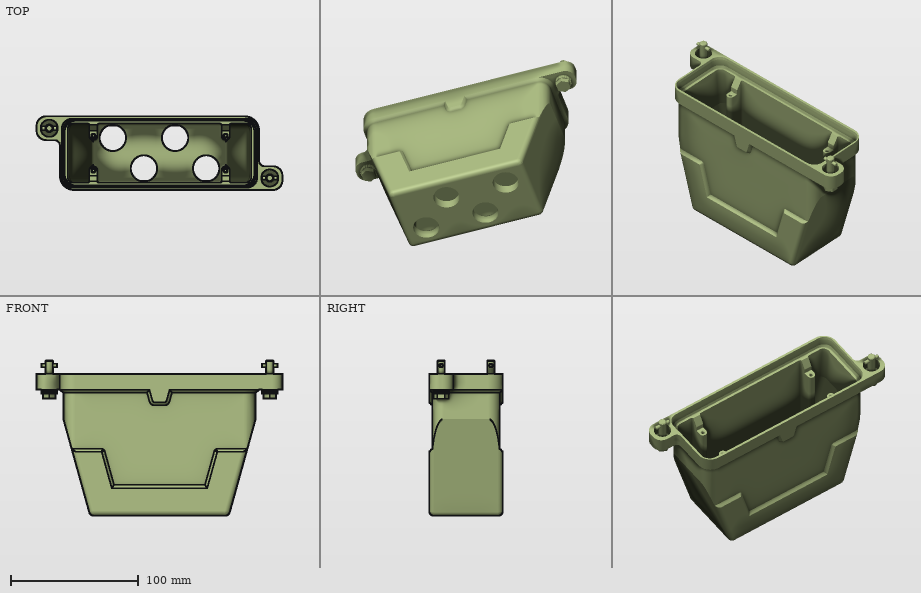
import cadquery as cq
import math

RIM_HALF_X = 78.2
RIM_HALF_Y = 29.0
RIM_CORNER_R = 11.5
RIM_TOP = 111.3
RIM_BOTTOM = 99.0
EAR_END_X = 96.5
EAR_INNER_Y = 10.1
EAR_CORNER_R = 7.75
EAR_NOTCH_R = 4.0

STEP = 2.4
BEVEL_DEG = 45
BODY_HALF_X = 75.45
BODY_HALF_Y = RIM_HALF_Y - STEP
BODY_CORNER_R = RIM_CORNER_R - STEP
BEND_Z = 76.0
LEAN_DEG = 15.5
LEAN = math.tan(math.radians(LEAN_DEG))
EDGE_R = 4.0

PANEL_TOP = 50.15
PANEL_DIP_Z = 21.85
PANEL_DIP_HALF_X = 45.3

GRIP_BOTTOM_HALF_X = 5.2
GRIP_BOTTOM = 89.1
GRIP_CORNER_R = 2.0

SEAT_Z = 102.5
SEAT_CORNER_R = 8.5
SEAT_STAGES = [
    (SEAT_Z, 74.3, 25.3),
    (104.2, 75.5, 26.2),
    (109.3, 76.2, 26.7),
    (RIM_TOP, 76.8, 27.1),
]

CAVITY_HALF_Y = 23.3
CAVITY_TOP_HALF_X = 72.1
CAVITY_BEND_HALF_X = 70.1
CAVITY_BEND_Z = 70.0
CAVITY_FLOOR = 8.0
CAVITY_CORNER_R = 5.0
FLOOR_FILLET_R = 1.8

POST_X = 51.9
POST_Y = 13.6
POST_R = 3.2
POST_TOP = 91.5
POST_FLARE_R = 1.5
POST_HOLE_D = 2.4
POST_SINK_D = 3.5
POST_HOLE_DEPTH = 12.0
BRACE_FRONT_Y = 17.7
BRACE_TOP_Y = 22.1
BRACE_SLOPE_Z = 95.7

CABLE_HOLE_D = 20.5
CABLE_HOLES = 4
CABLE_PITCH = 24.4
CABLE_Y = 12.0

SCREW_X = 86.5
SCREW_Y = 19.5
WELL_D = 13.5
WELL_FLOOR = 2.0
SHAFT_D = 6.0
SHAFT_TOP = 121.95
SHAFT_CHAMFER = 0.6
CROSS_PIN_D = 3.0
CROSS_PIN_LENGTH = 12.8
CROSS_PIN_Z = 117.9
CROSS_PIN_CHAMFER = 0.4
COLLAR_D = 12.5
COLLAR_HEIGHT = 3.1
COLLAR_NOTCHES = 24
COLLAR_NOTCH_D = 0.8
HEX_SIDES = 6
HEX_FLATS = 10.1
HEX_HEIGHT = 3.9


def rounded_block(half_x, half_y, radius, z_low, z_high):
    """Upright block with rounded vertical edges."""
    block = cq.Workplane("XY").workplane(offset=z_low).rect(2 * half_x, 2 * half_y)
    return block.extrude(z_high - z_low).edges("|Z").fillet(radius)


def rounded_loft(low_half, low_r, z_low, high_half, high_r, z_high):
    """Sloped-side block between two rounded rectangles."""
    low = cq.Sketch().rect(2 * low_half[0], 2 * low_half[1]).vertices().fillet(low_r)
    high = cq.Sketch().rect(2 * high_half[0], 2 * high_half[1]).vertices().fillet(high_r)
    high = high.moved(cq.Location(cq.Vector(0, 0, z_high - z_low)))
    return cq.Workplane("XY").workplane(offset=z_low).placeSketch(low, high).loft()


def both_sides(solid):
    """The solid together with its half-turn copy about Z."""
    return solid.union(solid.rotate((0, 0, 0), (0, 0, 1), 180))


def make_rim():
    rim = rounded_block(RIM_HALF_X, RIM_HALF_Y, RIM_CORNER_R, RIM_BOTTOM, RIM_TOP)
    ear = (
        cq.Workplane("XY")
        .workplane(offset=RIM_BOTTOM)
        .moveTo(0, RIM_HALF_Y)
        .lineTo(EAR_CORNER_R - EAR_END_X, RIM_HALF_Y)
        .radiusArc((-EAR_END_X, RIM_HALF_Y - EAR_CORNER_R), -EAR_CORNER_R)
        .lineTo(-EAR_END_X, EAR_INNER_Y + EAR_CORNER_R)
        .radiusArc((EAR_CORNER_R - EAR_END_X, EAR_INNER_Y), -EAR_CORNER_R)
        .lineTo(-RIM_HALF_X - EAR_NOTCH_R, EAR_INNER_Y)
        .radiusArc((-RIM_HALF_X, EAR_INNER_Y - EAR_NOTCH_R), EAR_NOTCH_R)
        .lineTo(0, EAR_INNER_Y - EAR_NOTCH_R)
        .close()
        .extrude(RIM_TOP - RIM_BOTTOM)
    )
    underside = rounded_loft(
        (BODY_HALF_X, BODY_HALF_Y), BODY_CORNER_R, RIM_BOTTOM - STEP,
        (RIM_HALF_X, RIM_HALF_Y), RIM_CORNER_R, RIM_BOTTOM,
    )
    return rim.union(both_sides(ear)).union(underside)


def panel_relief():
    """Material removed above the raised panel on the -Y side, with 45 degree borders."""
    dip_low_half_x = PANEL_DIP_HALF_X - (PANEL_TOP - PANEL_DIP_Z) * LEAN
    far_x = EAR_END_X
    outline = [
        (-far_x, PANEL_TOP),
        (-PANEL_DIP_HALF_X, PANEL_TOP),
        (-dip_low_half_x, PANEL_DIP_Z),
        (dip_low_half_x, PANEL_DIP_Z),
        (PANEL_DIP_HALF_X, PANEL_TOP),
        (far_x, PANEL_TOP),
        (far_x, SHAFT_TOP),
        (-far_x, SHAFT_TOP),
    ]
    return (
        cq.Workplane("XZ", origin=(0, -RIM_HALF_Y, 0))
        .polyline(outline)
        .close()
        .extrude(-STEP, taper=BEVEL_DEG)
    )


def make_body():
    bottom_half_x = BODY_HALF_X - BEND_Z * LEAN
    block = (
        cq.Workplane("XZ", origin=(0, RIM_HALF_Y, 0))
        .polyline([
            (-bottom_half_x, 0),
            (bottom_half_x, 0),
            (BODY_HALF_X, BEND_Z),
            (BODY_HALF_X, RIM_BOTTOM),
            (-BODY_HALF_X, RIM_BOTTOM),
            (-BODY_HALF_X, BEND_Z),
        ])
        .close()
        .extrude(2 * RIM_HALF_Y)
    )
    block = block.edges("not(|X or |Y)").fillet(EDGE_R)
    block = block.faces("<Z").edges().fillet(EDGE_R)
    block = block.cut(both_sides(panel_relief()))
    upper_z = PANEL_TOP + STEP
    upper = rounded_block(BODY_HALF_X, BODY_HALF_Y, BODY_CORNER_R, upper_z, RIM_BOTTOM)
    lower = cq.Workplane("XY").box(2 * EAR_END_X, 2 * EAR_END_X, upper_z, centered=(True, True, False))
    return block.intersect(upper.union(lower))


def make_grip():
    """Tapered grip below the rim on the -Y side, flush with the rim."""
    top_half_x = GRIP_BOTTOM_HALF_X + (RIM_TOP - GRIP_BOTTOM) * LEAN
    face = (
        cq.Sketch()
        .polygon([
            (-GRIP_BOTTOM_HALF_X, GRIP_BOTTOM),
            (GRIP_BOTTOM_HALF_X, GRIP_BOTTOM),
            (top_half_x, RIM_TOP),
            (-top_half_x, RIM_TOP),
            (-GRIP_BOTTOM_HALF_X, GRIP_BOTTOM),
        ])
        .vertices("<Y")
        .fillet(GRIP_CORNER_R)
    )
    grip = cq.Workplane("XZ", origin=(0, -RIM_HALF_Y, 0)).placeSketch(face).extrude(-STEP, taper=-BEVEL_DEG)
    below_rim = cq.Workplane("XY").box(
        RIM_HALF_X, 2 * RIM_HALF_Y, RIM_BOTTOM, centered=(True, True, False)
    )
    return grip.intersect(below_rim)


def make_seal_seat():
    """Opening for the seal, widening in stages from the seat to the rim top."""
    stages = []
    for low, high in zip(SEAT_STAGES, SEAT_STAGES[1:]):
        stages.append(rounded_loft(low[1:], SEAT_CORNER_R, low[0], high[1:], SEAT_CORNER_R, high[0]))
    seat = stages[0]
    for stage in stages[1:]:
        seat = seat.union(stage)
    return seat


def make_post(side_x, side_y):
    """Screw post with a taller sloped brace behind it, flared into the long wall."""
    flare_y = CAVITY_HALF_Y - POST_FLARE_R
    flare_x = POST_R + POST_FLARE_R
    column = (
        cq.Workplane("XY")
        .moveTo(POST_R, POST_Y)
        .lineTo(POST_R, flare_y)
        .radiusArc((flare_x, CAVITY_HALF_Y), POST_FLARE_R)
        .lineTo(flare_x, RIM_HALF_Y)
        .lineTo(-flare_x, RIM_HALF_Y)
        .lineTo(-flare_x, CAVITY_HALF_Y)
        .radiusArc((-POST_R, flare_y), POST_FLARE_R)
        .lineTo(-POST_R, POST_Y)
        .threePointArc((0, POST_Y - POST_R), (POST_R, POST_Y))
        .close()
        .extrude(SEAT_Z)
    )
    clearance = (
        cq.Workplane("YZ", origin=(-flare_x, 0, 0))
        .polyline([
            (0, POST_TOP),
            (BRACE_FRONT_Y, POST_TOP),
            (BRACE_FRONT_Y, BRACE_SLOPE_Z),
            (BRACE_TOP_Y, SEAT_Z),
            (0, SEAT_Z),
        ])
        .close()
        .extrude(2 * flare_x)
    )
    post = column.cut(clearance).translate((POST_X, 0, 0))
    if side_x < 0:
        post = post.mirror("YZ")
    if side_y < 0:
        post = post.mirror("XZ")
    return post


def make_cavity():
    """Hollow of the hood, with the screw posts left standing."""
    floor_half_x = CAVITY_BEND_HALF_X - (CAVITY_BEND_Z - CAVITY_FLOOR) * LEAN
    cavity = (
        cq.Workplane("XZ", origin=(0, CAVITY_HALF_Y, 0))
        .polyline([
            (-floor_half_x, CAVITY_FLOOR),
            (floor_half_x, CAVITY_FLOOR),
            (CAVITY_BEND_HALF_X, CAVITY_BEND_Z),
            (CAVITY_TOP_HALF_X, SEAT_Z),
            (-CAVITY_TOP_HALF_X, SEAT_Z),
            (-CAVITY_BEND_HALF_X, CAVITY_BEND_Z),
        ])
        .close()
        .extrude(2 * CAVITY_HALF_Y)
    )
    cavity = cavity.edges("not(|Y or |X)").fillet(CAVITY_CORNER_R)
    for side_x in (-1, 1):
        for side_y in (-1, 1):
            cavity = cavity.cut(make_post(side_x, side_y))
    return cavity.faces("<Z").edges().fillet(FLOOR_FILLET_R)


def make_screw():
    """Captive locking screw with hexagon head, notched collar and cross pin, on the Z axis."""
    collar_z = RIM_BOTTOM - COLLAR_HEIGHT
    collar = cq.Workplane("XY").workplane(offset=collar_z).circle(COLLAR_D / 2).extrude(COLLAR_HEIGHT)
    notches = (
        cq.Workplane("XY")
        .workplane(offset=collar_z)
        .polarArray(COLLAR_D / 2, 0, 360, COLLAR_NOTCHES)
        .circle(COLLAR_NOTCH_D / 2)
        .extrude(COLLAR_HEIGHT)
    )
    head = (
        cq.Workplane("XY")
        .workplane(offset=collar_z - HEX_HEIGHT)
        .polygon(HEX_SIDES, HEX_FLATS / math.cos(math.pi / HEX_SIDES))
        .extrude(HEX_HEIGHT)
        .rotate((0, 0, 0), (0, 0, 1), 90)
    )
    shaft = (
        cq.Workplane("XY")
        .workplane(offset=collar_z)
        .circle(SHAFT_D / 2)
        .extrude(SHAFT_TOP - collar_z)
        .faces(">Z")
        .chamfer(SHAFT_CHAMFER)
    )
    pin = (
        cq.Workplane("YZ", origin=(-CROSS_PIN_LENGTH / 2, 0, CROSS_PIN_Z))
        .circle(CROSS_PIN_D / 2)
        .extrude(CROSS_PIN_LENGTH)
        .faces("<X or >X")
        .chamfer(CROSS_PIN_CHAMFER)
    )
    return collar.cut(notches).union(head).union(shaft).union(pin)


def drill(part, points, diameter, z_low, z_high):
    """Remove upright round holes at the given points."""
    tools = cq.Workplane("XY").workplane(offset=z_low).pushPoints(points)
    return part.cut(tools.circle(diameter / 2).extrude(z_high - z_low))


def countersink(part, points, diameter, z_top):
    """Remove 90 degree cones that open to the given diameter at z_top."""
    radius = diameter / 2
    cone = cq.Solid.makeCone(0, radius, radius, pnt=cq.Vector(0, 0, z_top - radius))
    for x, y in points:
        part = part.cut(cq.Workplane(cone.translate(cq.Vector(x, y, 0))))
    return part


post_points = [(x, y) for x in (-POST_X, POST_X) for y in (-POST_Y, POST_Y)]
screw_points = [(-SCREW_X, SCREW_Y), (SCREW_X, -SCREW_Y)]
cable_points = []
for i in range(CABLE_HOLES):
    row = 1 if i % 2 == 0 else -1
    cable_points.append(((i - (CABLE_HOLES - 1) / 2) * CABLE_PITCH, row * CABLE_Y))


hood = make_rim().union(make_body()).union(both_sides(make_grip()))
hood = hood.cut(make_seal_seat()).cut(make_cavity())
hood = drill(hood, post_points, POST_HOLE_D, POST_TOP - POST_HOLE_DEPTH, POST_TOP)
hood = countersink(hood, post_points, POST_SINK_D, POST_TOP)
hood = drill(hood, cable_points, CABLE_HOLE_D, 0, CAVITY_FLOOR)
hood = drill(hood, screw_points, WELL_D, RIM_BOTTOM + WELL_FLOOR, RIM_TOP)
for x, y in screw_points:
    hood = hood.union(make_screw().translate((x, y, 0)))

result = hood